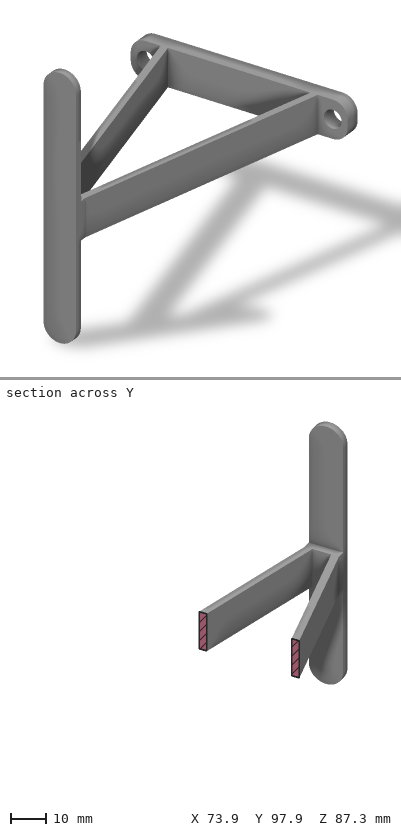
import cadquery as cq

total_depth = 97.9
plate_width = 73.9
pad_height = 87.3

plate_height = 12.7
plate_thickness = 5.1
plate_corner_radius = 5.1
hole_diameter = 6.1
hole_spacing = plate_width - 2 * plate_corner_radius

pad_width = 11.1
pad_thickness = 2.5
pad_rise = 3.7

web_thickness = 2.5
frame_back_half_width = 26.7
opening_back_half_width = 24.3
opening_front_half_width = 3.0

web_front = pad_thickness
web_back = web_front + web_thickness
plate_front = total_depth - plate_thickness


def make_plate():
    """Rounded plate with a screw hole concentric with the corners at each end."""
    plate = (
        cq.Workplane("XY")
        .box(plate_width, plate_thickness, plate_height)
        .edges("|Y")
        .fillet(plate_corner_radius)
        .faces("<Y")
        .workplane(centerOption="CenterOfBoundBox")
        .rarray(hole_spacing, 1, 2, 1)
        .hole(hole_diameter)
    )
    return plate.translate((0, plate_front + plate_thickness / 2, 0))


def make_pad():
    """Upright pad with fully rounded ends."""
    return (
        cq.Workplane("XZ")
        .center(0, pad_rise)
        .slot2D(pad_height, pad_width, 90)
        .extrude(-pad_thickness)
    )


def make_frame():
    """Two diverging legs with a short straight-sided web behind the pad."""
    half_pad = pad_width / 2
    outer = [
        (-half_pad, web_front),
        (half_pad, web_front),
        (half_pad, web_back),
        (frame_back_half_width, plate_front),
        (-frame_back_half_width, plate_front),
        (-half_pad, web_back),
    ]
    opening = [
        (-opening_front_half_width, web_back),
        (opening_front_half_width, web_back),
        (opening_back_half_width, plate_front),
        (-opening_back_half_width, plate_front),
    ]
    base = cq.Workplane("XY").workplane(offset=-plate_height / 2)
    outer_block = base.polyline(outer).close().extrude(plate_height)
    opening_block = base.polyline(opening).close().extrude(plate_height)
    return outer_block.cut(opening_block)


result = make_plate().union(make_frame()).union(make_pad())